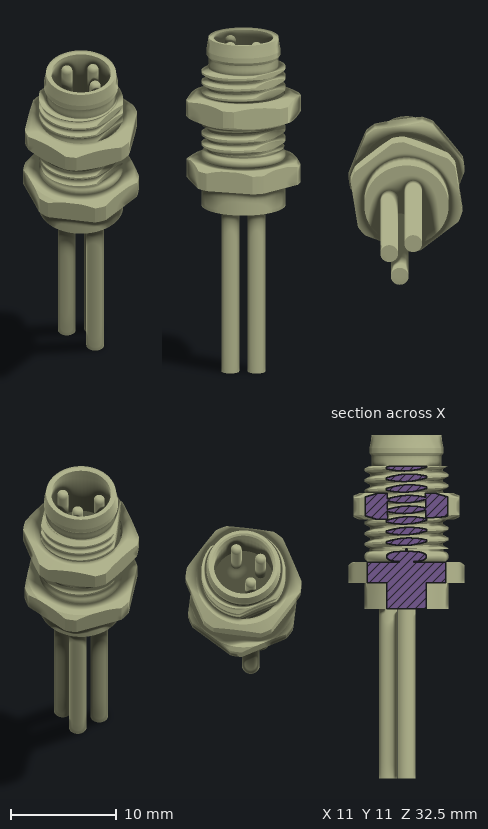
import cadquery as cq
import math

body_bottom = 16.02
flange_bottom = 18.5
flange_top = 20.5
seal_top = 21.5
thread_bottom = 21.7
nut_bottom = 24.5
nut_top = 27.0
thread_top = 29.58
total_height = 32.5

body_radius = 4.0
seal_section_radius = (seal_top - flange_top) / 2

across_flats = 10.0
corner_diameter = 11.0
flange_face_radius = 5.07
flange_chamfer_height = 0.3
nut_face_radius = 4.5
nut_chamfer_height = 0.45
nut_bore_radius = 3.93

thread_pitch = 1.0
thread_major_radius = 4.0
thread_core_radius = 3.45
thread_foot_radius = 3.3
thread_foot_width = 0.98
thread_crest_width = 0.2
thread_crest_height = 29.22
flats_width = 7.02

collar_radius = 3.5
collar_neck_radius = 3.3
collar_rim_bottom = 30.52
collar_band_bottom = 30.8
collar_band_top = 31.3
socket_radius = 2.83
socket_mouth_radius = 3.02
socket_mouth_depth = 0.1
socket_depth = 6.0

contact_offset = 1.75
pin_radius = 0.52
pin_tip = 32.3
wire_radius = 0.85
contact_points = [(-contact_offset, 0), (contact_offset, 0), (0, contact_offset)]


def cylinder(radius, bottom, top):
    return cq.Workplane("XY").workplane(offset=bottom).circle(radius).extrude(top - bottom)


def revolved(outline):
    """Solid of revolution about Z from (radius, height) points."""
    return cq.Workplane("XZ").polyline(outline).close().revolve(360, (0, 0), (0, 1))


def hexagon(bottom, top, turn):
    """Hexagonal prism with its first corner turned from +X."""
    corner_to_corner = across_flats / math.cos(math.pi / 6)
    prism = cq.Workplane("XY").polygon(6, corner_to_corner).extrude(top - bottom)
    return prism.rotate((0, 0, 0), (0, 0, 1), turn).translate((0, 0, bottom))


def make_flange():
    """Hexagon with corners on the Y axis, rounded and chamfered on top."""
    corner_radius = corner_diameter / 2
    envelope = revolved([
        (0, flange_bottom),
        (corner_radius, flange_bottom),
        (corner_radius, flange_top - flange_chamfer_height),
        (flange_face_radius, flange_top),
        (0, flange_top),
    ])
    return hexagon(flange_bottom, flange_top, 30).intersect(envelope)


def make_nut():
    """Hexagon with corners on the X axis, chamfered on both faces."""
    corner_radius = corner_diameter / 2
    envelope = revolved([
        (nut_bore_radius, nut_bottom),
        (nut_face_radius, nut_bottom),
        (corner_radius, nut_bottom + nut_chamfer_height),
        (corner_radius, nut_top - nut_chamfer_height),
        (nut_face_radius, nut_top),
        (nut_bore_radius, nut_top),
    ])
    return hexagon(nut_bottom, nut_top, 0).intersect(envelope)


def make_seal():
    """Ring of round section on the flange, around a neck as wide as the thread flats."""
    ring_radius = body_radius - seal_section_radius
    ring_height = (flange_top + seal_top) / 2
    ring = (
        cq.Workplane("XZ")
        .center(ring_radius, ring_height)
        .circle(seal_section_radius)
        .revolve(360, (-ring_radius, 0), (-ring_radius, 1))
    )
    return ring.union(cylinder(flats_width / 2, flange_top, thread_bottom))


def make_thread():
    """Right-hand thread on a core, trimmed at both ends and by two flats facing X."""
    turns_below = math.ceil((thread_crest_height - thread_bottom) / thread_pitch) + 1
    start = thread_crest_height - (turns_below + 0.25) * thread_pitch
    turns = math.ceil((thread_top - start) / thread_pitch) + 1
    helix = cq.Wire.makeHelix(thread_pitch, turns * thread_pitch, thread_core_radius)
    ridge = (
        cq.Workplane("XZ")
        .polyline([
            (thread_foot_radius, -thread_foot_width / 2),
            (thread_major_radius, -thread_crest_width / 2),
            (thread_major_radius, thread_crest_width / 2),
            (thread_foot_radius, thread_foot_width / 2),
        ])
        .close()
        .sweep(cq.Workplane(helix), isFrenet=True)
        .translate((0, 0, start))
    )
    trim = (
        cq.Workplane("XY")
        .workplane(offset=thread_bottom)
        .rect(flats_width, 3 * thread_major_radius)
        .extrude(thread_top - thread_bottom)
    )
    core = cylinder(thread_core_radius, start - thread_pitch, start + (turns + 1) * thread_pitch)
    return core.union(ridge).intersect(trim)


def make_collar():
    return revolved([
        (0, thread_top),
        (collar_neck_radius, thread_top),
        (collar_neck_radius, collar_rim_bottom),
        (collar_radius, collar_band_bottom),
        (collar_radius, collar_band_top),
        (collar_neck_radius, total_height),
        (0, total_height),
    ])


def make_socket():
    """Blind round socket with a flared mouth."""
    floor = total_height - socket_depth
    return revolved([
        (0, floor),
        (socket_radius, floor),
        (socket_radius, total_height - socket_mouth_depth),
        (socket_mouth_radius, total_height),
        (0, total_height),
    ])


def make_pin(point):
    """Round-tipped pin rooted below the socket floor."""
    root = total_height - socket_depth - pin_radius
    tip_center = pin_tip - pin_radius
    tip = cq.Workplane("XY").sphere(pin_radius).translate((0, 0, tip_center))
    return cylinder(pin_radius, root, tip_center).union(tip).translate((*point, 0))


def make_wire(point):
    return cylinder(wire_radius, 0, body_bottom).translate((*point, 0))


result = cylinder(body_radius, body_bottom, flange_bottom)
result = result.union(make_flange()).union(make_seal()).union(make_thread())
result = result.union(make_nut()).union(make_collar()).cut(make_socket())
for contact_point in contact_points:
    result = result.union(make_pin(contact_point)).union(make_wire(contact_point))